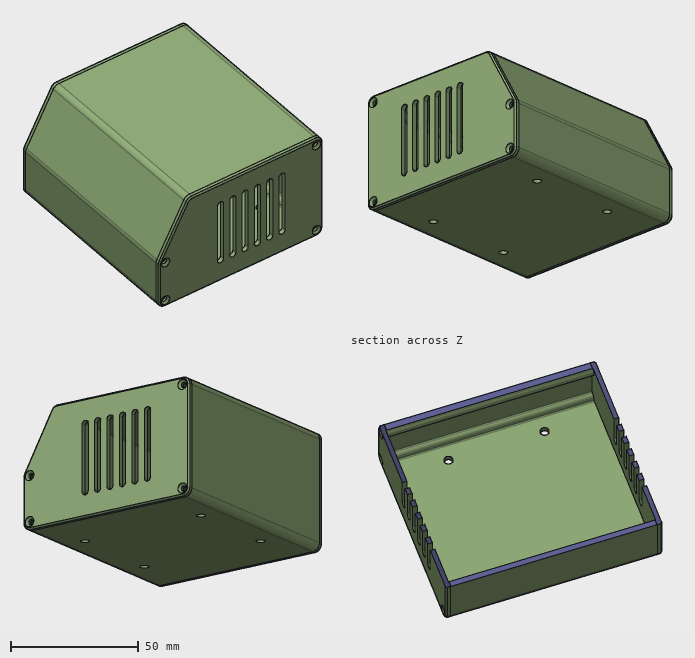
import cadquery as cq
import math

length = 90.1
depth = 80.0
height = 49.0
slope_angle = 61.0
front_screw_z = 22.2
corner_radius = 3.15

plate_thickness = 2.1
plate_chamfer = 0.68
screw_clearance_diameter = 2.2
countersink_diameter = 4.1
countersink_angle = 90.0

slot_count = 6
slot_width = 3.0
slot_length = 30.6
slot_row_span = 30.0
slot_pitch = slot_row_span / (slot_count - 1)
first_slot_y = 20.0
slot_center_y = first_slot_y - slot_row_span / 2

wall = 2.5
housing_length = length - 2 * plate_thickness
boss_diameter = 4.0
boss_fillet = 0.5
pilot_diameter = 1.6
floor_hole_diameter = 3.5
floor_hole_spacing_x = 40.0
floor_hole_spacing_y = 56.0

front_y = -depth / 2
back_y = depth / 2
screw_points = [
    (front_y + corner_radius, corner_radius),
    (back_y - corner_radius, corner_radius),
    (back_y - corner_radius, height - corner_radius),
    (front_y + corner_radius, front_screw_z),
]

slope = math.radians(slope_angle)
slope_bottom_z = front_screw_z + corner_radius * math.tan((math.pi / 2 - slope) / 2)
slope_top_y = front_y + (height - slope_bottom_z) / math.tan(slope)


def profile_block(start_x, block_length, inset=0.0):
    """Rounded enclosure profile, shrunk by inset, extruded along +X from start_x."""
    sharp_profile = (
        cq.Workplane("YZ", origin=(start_x, 0, 0))
        .moveTo(front_y, 0)
        .lineTo(back_y, 0)
        .lineTo(back_y, height)
        .lineTo(slope_top_y, height)
        .lineTo(front_y, slope_bottom_z)
        .close()
    )
    if inset:
        sharp_profile = sharp_profile.offset2D(-inset)
    return sharp_profile.extrude(block_length).edges("|X").fillet(corner_radius - inset)


def make_housing():
    """Tube open at both ends, with a boss at each screw and mounting holes in the floor."""
    start_x = -housing_length / 2
    tube = profile_block(start_x, housing_length).cut(profile_block(start_x, housing_length, wall))
    screw_plane = cq.Workplane("YZ", origin=(start_x, 0, 0)).pushPoints(screw_points)
    tube = tube.union(screw_plane.circle(boss_diameter / 2).extrude(housing_length))

    def meets_boss(edge):
        middle = edge.Center()
        return any(
            math.isclose(math.hypot(middle.y - y, middle.z - z), boss_diameter / 2, abs_tol=0.001)
            for y, z in screw_points
        )

    tube = tube.edges("|X").filter(meets_boss).fillet(boss_fillet)
    tube = tube.cut(screw_plane.circle(pilot_diameter / 2).extrude(housing_length))

    floor_holes = (
        cq.Workplane("XY")
        .rarray(floor_hole_spacing_x, floor_hole_spacing_y, 2, 2)
        .circle(floor_hole_diameter / 2)
        .extrude(wall)
    )
    return tube.cut(floor_holes)


def make_left_plate():
    """End plate at -X with a chamfered rim, countersunk screw holes and vent slots."""
    outer_x = -length / 2
    plate = profile_block(outer_x, plate_thickness).faces("<X").edges().chamfer(plate_chamfer)

    screw_plane = cq.Workplane("YZ", origin=(outer_x, 0, 0)).pushPoints(screw_points)
    plate = plate.cut(screw_plane.circle(screw_clearance_diameter / 2).extrude(plate_thickness))
    countersink_taper = countersink_angle / 2
    countersink_depth = (
        (countersink_diameter - screw_clearance_diameter) / 2 / math.tan(math.radians(countersink_taper))
    )
    countersinks = screw_plane.circle(countersink_diameter / 2).extrude(
        countersink_depth, taper=countersink_taper
    )
    plate = plate.cut(countersinks)

    slots = (
        cq.Workplane("YZ", origin=(outer_x, slot_center_y, height / 2))
        .rarray(slot_pitch, 0.9, slot_count, 1)
        .slot2D(slot_length, slot_width, 90)
        .extrude(plate_thickness)
    )
    return plate.cut(slots)


housing = make_housing()
left_plate = make_left_plate()
right_plate = left_plate.mirror("YZ")

result = cq.Compound.makeCompound([housing.val(), left_plate.val(), right_plate.val()])